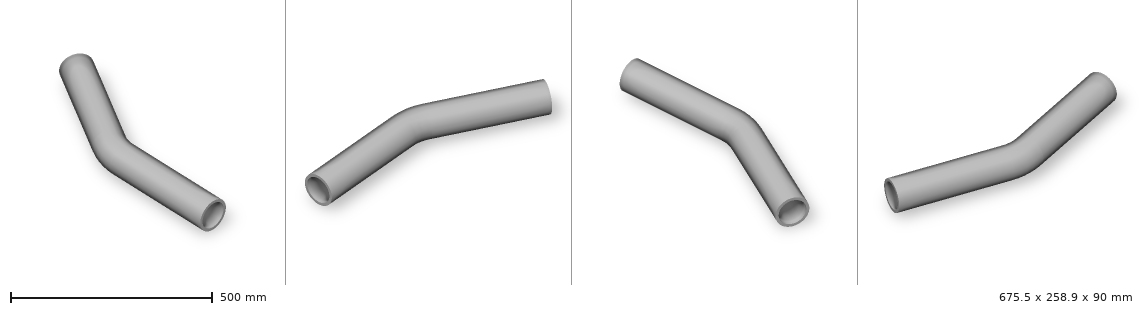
import cadquery as cq
import math

overall_length = 675.5
outer_diameter = 90.0
inner_diameter = 73.5
bend_radius = 135.0
bend_angle = 30.0

outer_radius = outer_diameter / 2
bend_sin = math.sin(math.radians(bend_angle))
bend_cos = math.cos(math.radians(bend_angle))
leg_length = (overall_length - (bend_radius + outer_radius) * bend_sin) / (1 + bend_cos)

bend_start = (leg_length, 0)
bend_end = (leg_length + bend_radius * bend_sin, bend_radius * (1 - bend_cos))
pipe_end = (bend_end[0] + leg_length * bend_cos, bend_end[1] + leg_length * bend_sin)

centreline = (
    cq.Workplane("XY")
    .lineTo(*bend_start)
    .tangentArcPoint(bend_end, relative=False)
    .lineTo(*pipe_end)
)

result = (
    cq.Workplane("YZ")
    .circle(outer_radius)
    .circle(inner_diameter / 2)
    .sweep(centreline)
)